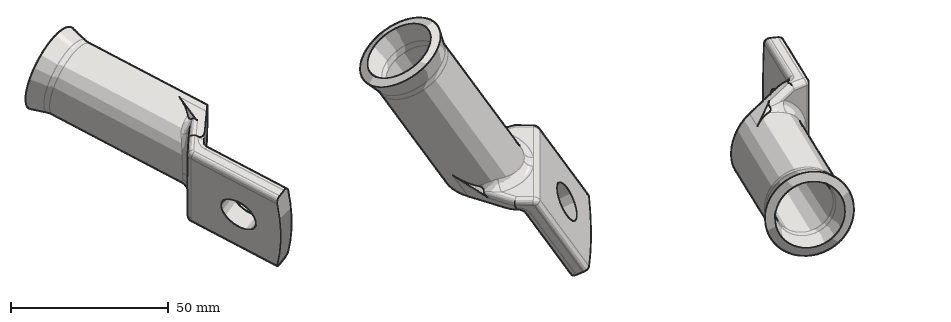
import cadquery as cq
import math

barrel_radius = 12.8
bore_radius = 9.7
bore_depth = 44.0
mouth_inner_radius = 11.4
flare_radius = 14.6
lip_setback = 0.7
flare_length = 6.6
flare_blend_end = 8.6
flare_blend_radius = 13.0
bore_blend_radius = 10.0

total_length = 97.85
palm_width = 37.0
palm_back = -15.7
palm_thickness = 6.5
palm_front = palm_back + palm_thickness
half_width = palm_width / 2
palm_tip_bulge = 1.7
bolt_radius = 6.6
bolt_x = 81.9

neck_angle = math.radians(60)
neck_top_x = 51.9
neck_bend_x = 62.5
shoulder_angle = math.radians(26.6)
tangent_y = barrel_radius * math.sin(shoulder_angle)
tangent_z = barrel_radius * math.cos(shoulder_angle)

gusset_tip_x = 45.7
gusset_edge_x = 56.7
gusset_edge_y = -1.0
gusset_foot_x = 56.2
gusset_foot_y = -3.9
gusset_foot_z = 12.9

edge_round = 2.0
outer_bend_radius = 2.4
inner_bend_radius = 2.9
root_radius = 3.5

tolerance = 0.1


def front_slope_x(y):
    return neck_top_x + (barrel_radius - y) / math.tan(neck_angle)


def back_slope_x(y):
    return neck_bend_x - (y - palm_back) / math.tan(neck_angle)


def on_back_slope(point):
    return abs(point.x - back_slope_x(point.y)) < outer_bend_radius / 4


def edges_where(shape, test):
    """Edges whose middle point passes the test."""
    return shape.newObject([e for e in shape.edges().vals() if test(e.positionAt(0.5))])


def make_barrel():
    blank = (
        cq.Workplane("XZ")
        .moveTo(0, 0)
        .lineTo(0, mouth_inner_radius)
        .lineTo(lip_setback, flare_radius)
        .lineTo(flare_length, flare_blend_radius)
        .tangentArcPoint((flare_blend_end, barrel_radius), relative=False)
        .lineTo(total_length, barrel_radius)
        .lineTo(total_length, 0)
        .close()
        .revolve(360, (0, 0, 0), (1, 0, 0))
    )
    below_slope = (
        cq.Workplane("XY")
        .moveTo(0, -flare_radius)
        .lineTo(front_slope_x(-flare_radius), -flare_radius)
        .lineTo(front_slope_x(flare_radius), flare_radius)
        .lineTo(0, flare_radius)
        .close()
        .extrude(flare_radius, both=True)
    )
    return blank.intersect(below_slope)


def make_lug():
    """Neck and palm, bent from one slab and trimmed to the shoulder outline."""
    shoulder_y = tangent_y - (half_width - tangent_z) / math.tan(shoulder_angle)

    side = (
        cq.Workplane("XY")
        .moveTo(neck_bend_x, palm_back)
        .lineTo(total_length, palm_back)
        .lineTo(total_length, palm_front)
        .lineTo(front_slope_x(palm_front), palm_front)
        .lineTo(front_slope_x(tangent_y), tangent_y)
        .lineTo(back_slope_x(tangent_y), tangent_y)
        .close()
        .extrude(half_width, both=True)
    )
    outline = (
        cq.Workplane("YZ")
        .polyline([
            (palm_back, -half_width),
            (shoulder_y, -half_width),
            (tangent_y, -tangent_z),
            (tangent_y, tangent_z),
            (shoulder_y, half_width),
            (palm_back, half_width),
        ])
        .close()
        .extrude(total_length)
    )
    tip_x = total_length - palm_tip_bulge
    plan = (
        cq.Workplane("XZ")
        .moveTo(0, -half_width)
        .lineTo(tip_x, -half_width)
        .threePointArc((total_length, 0), (tip_x, half_width))
        .lineTo(0, half_width)
        .close()
        .extrude(palm_width, both=True)
    )
    return side.intersect(outline).intersect(plan)


def round_lug(lug):
    """Round the two bends, then the rims along both faces of the lug."""
    def on_side(p):
        return abs(p.z) > half_width - tolerance

    def before_tip(p):
        return p.x < total_length - palm_tip_bulge - tolerance

    def is_outer_bend(p):
        return abs(p.x - neck_bend_x) < tolerance and abs(p.y - palm_back) < tolerance

    def is_inner_bend(p):
        return abs(p.x - front_slope_x(palm_front)) < tolerance and abs(p.y - palm_front) < tolerance

    def is_back_rim(p):
        on_shoulder = abs(p.z) > barrel_radius and p.y > palm_front
        on_palm_back = p.y < palm_back + outer_bend_radius / 4
        on_neck = (on_side(p) or on_shoulder) and on_back_slope(p)
        return before_tip(p) and (on_neck or on_side(p) and on_palm_back)

    def is_front_rim(p):
        past_neck = p.x > front_slope_x(palm_front)
        return on_side(p) and before_tip(p) and past_neck and p.y > palm_front - tolerance

    lug = edges_where(lug, is_outer_bend).fillet(outer_bend_radius)
    lug = edges_where(lug, is_inner_bend).fillet(inner_bend_radius)
    lug = edges_where(lug, is_back_rim).fillet(edge_round)
    return edges_where(lug, is_front_rim).fillet(edge_round)


def round_root(body):
    """Blend the underside of the barrel into the back of the neck."""
    def is_root(p):
        on_barrel = abs(math.hypot(p.y, p.z) - barrel_radius) < tolerance
        return on_barrel and p.y < 0 and on_back_slope(p)

    return edges_where(body, is_root).fillet(root_radius)


def make_gusset():
    """Four-sided wedge with its outer face flush with the upper (+Z) shoulder."""
    edge_z = tangent_z + (tangent_y - gusset_edge_y) * math.tan(shoulder_angle)
    tip = cq.Vector(gusset_tip_x, tangent_y, tangent_z)
    end = cq.Vector(front_slope_x(tangent_y), tangent_y, tangent_z)
    edge = cq.Vector(gusset_edge_x, gusset_edge_y, edge_z)
    foot = cq.Vector(gusset_foot_x, gusset_foot_y, gusset_foot_z)
    triangles = [(tip, edge, end), (tip, foot, edge), (tip, end, foot), (edge, foot, end)]
    faces = [cq.Face.makeFromWires(cq.Wire.makePolygon(list(t), close=True)) for t in triangles]
    return cq.Workplane(cq.Solid.makeSolid(cq.Shell.makeShell(faces)))


def make_bore():
    return (
        cq.Workplane("XZ")
        .lineTo(0, mouth_inner_radius)
        .lineTo(flare_length, bore_blend_radius)
        .tangentArcPoint((flare_blend_end, bore_radius), relative=False)
        .lineTo(bore_depth, bore_radius)
        .lineTo(bore_depth, 0)
        .close()
        .revolve(360, (0, 0, 0), (1, 0, 0))
    )


def make_bolt_hole():
    return (
        cq.Workplane("XZ", origin=(0, palm_front, 0))
        .center(bolt_x, 0)
        .circle(bolt_radius)
        .extrude(palm_thickness)
    )


body = make_barrel().union(round_lug(make_lug()))
body = round_root(body)
gusset = make_gusset()
body = body.union(gusset).union(gusset.mirror("XY"))
result = body.cut(make_bore()).cut(make_bolt_hole()).solids()